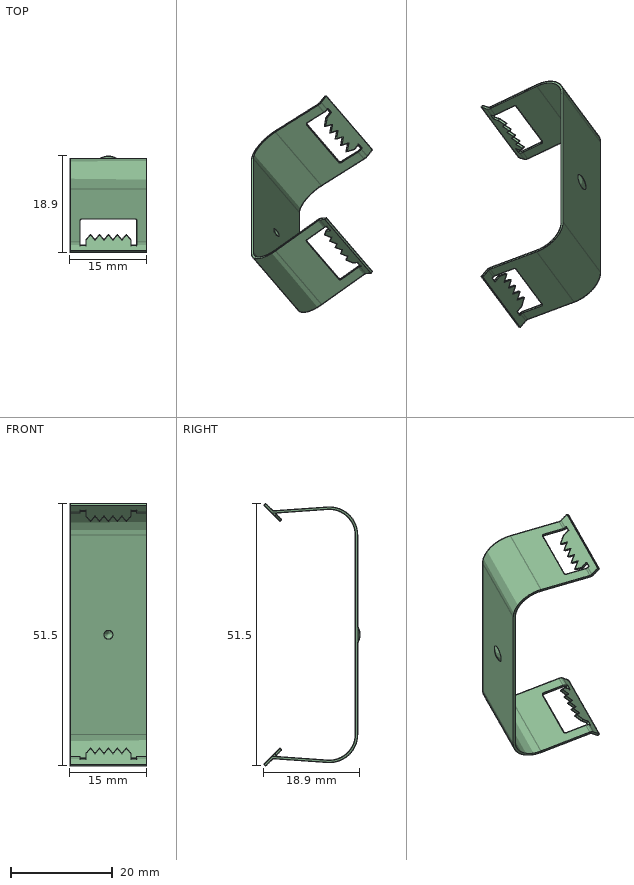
import cadquery as cq
import math

height = 51.5
width = 15.0
thickness = 0.5
dome_height = 0.45
depth = 18.9 - dome_height

corner_radius = 5.55
back_half_height = 19.5
arm_slope = math.radians(4)
lip_slope = math.radians(45)
bend_radius = 0.5

window_width = 11.05
window_edge_y = -11.9
window_corner_radius = 0.3
cutter_reach = 1.05
tongue_width = 8.85
lip_length = 4.5
notch_floor = 1.5
tooth_height = 1.5
tooth_count = 5
tooth_pitch = 1.75

dome_radius = 1.6
dimple_radius = 0.9
dimple_depth = 0.6


def shift(point, direction, distance):
    """Point moved along a direction in the YZ plane."""
    return (point[0] + direction[0] * distance, point[1] + direction[1] * distance)


def polar(center, radius, angle):
    """Point on a circle in the YZ plane, angle measured from +Y."""
    return shift(center, (math.cos(angle), math.sin(angle)), radius)


arm_normal_angle = math.pi / 2 + arm_slope
lip_normal_angle = math.pi / 2 - lip_slope
arm_normal = polar((0, 0), 1, arm_normal_angle)
lip_normal = polar((0, 0), 1, lip_normal_angle)
arm_direction = (-arm_normal[1], arm_normal[0])
lip_inward = (lip_normal[1], -lip_normal[0])

corner_center = (-corner_radius, back_half_height)
arm_start = polar(corner_center, corner_radius, arm_normal_angle)
lip_edge = (-depth + thickness * lip_normal[0], height / 2)

arm_offset_point = shift(arm_start, arm_normal, bend_radius)
lip_offset_point = shift(lip_edge, lip_normal, bend_radius)
arm_run = (
    (lip_offset_point[0] - arm_offset_point[0]) * lip_normal[0]
    + (lip_offset_point[1] - arm_offset_point[1]) * lip_normal[1]
) / (arm_direction[0] * lip_normal[0] + arm_direction[1] * lip_normal[1])
bend_center = shift(arm_offset_point, arm_direction, arm_run)


def make_half_strip():
    mid_corner = arm_normal_angle / 2
    bend_start = arm_normal_angle + math.pi
    bend_end = lip_normal_angle + math.pi
    mid_bend = (bend_start + bend_end) / 2
    inner_corner = corner_radius - thickness
    outer_bend = bend_radius + thickness
    return (
        cq.Workplane("YZ")
        .moveTo(0, 0)
        .lineTo(0, back_half_height)
        .threePointArc(polar(corner_center, corner_radius, mid_corner), arm_start)
        .lineTo(*polar(bend_center, bend_radius, bend_start))
        .threePointArc(
            polar(bend_center, bend_radius, mid_bend), polar(bend_center, bend_radius, bend_end)
        )
        .lineTo(*lip_edge)
        .lineTo(*shift(lip_edge, lip_normal, -thickness))
        .lineTo(*polar(bend_center, outer_bend, bend_end))
        .threePointArc(
            polar(bend_center, outer_bend, mid_bend), polar(bend_center, outer_bend, bend_start)
        )
        .lineTo(*polar(corner_center, inner_corner, arm_normal_angle))
        .threePointArc(
            polar(corner_center, inner_corner, mid_corner), (-thickness, back_half_height)
        )
        .lineTo(-thickness, 0)
        .close()
        .extrude(width / 2, both=True)
    )


def make_window():
    run = (window_edge_y - arm_start[0]) / arm_direction[0]
    far_edge = shift(arm_start, arm_direction, run)
    floor = shift(lip_edge, lip_inward, notch_floor)
    through = thickness + cutter_reach
    return (
        cq.Workplane("YZ")
        .polyline([
            shift(far_edge, arm_normal, cutter_reach),
            shift(floor, lip_normal, cutter_reach),
            shift(floor, lip_normal, -through),
            shift(far_edge, arm_normal, -through),
        ])
        .close()
        .extrude(window_width / 2, both=True)
        .faces(">Y")
        .edges("#X")
        .fillet(window_corner_radius)
    )


def make_tongue():
    """Toothed plate in the lip plane; local Y runs from the lip edge to the tooth tips."""
    plane = cq.Plane(
        origin=(0, *lip_edge), xDir=(-1, 0, 0), normal=(0, -lip_normal[0], -lip_normal[1])
    )
    root = lip_length - tooth_height
    half = tongue_width / 2
    outline = [(-half, 0), (-half, root)]
    for i in range(tooth_count):
        tip_x = (i - (tooth_count - 1) / 2) * tooth_pitch
        outline.append((tip_x, lip_length))
        if i < tooth_count - 1:
            outline.append((tip_x + tooth_pitch / 2, root))
    outline += [(half, root), (half, 0)]
    return cq.Workplane(plane).polyline(outline).close().extrude(thickness)


def make_dome():
    """Shallow spherical cap on the outer face of the back."""
    sphere_radius = (dome_radius**2 + dome_height**2) / (2 * dome_height)
    sphere = cq.Workplane("XY").sphere(sphere_radius).translate((0, dome_height - sphere_radius, 0))
    outside = cq.Workplane("XZ").circle(2 * dome_radius).extrude(-2 * dome_height)
    return sphere.intersect(outside)


def make_dimple():
    """Conical recess entering from the inner face of the back."""
    cone = cq.Solid.makeCone(
        dimple_radius, 0, dimple_depth, pnt=cq.Vector(0, -thickness, 0), dir=cq.Vector(0, 1, 0)
    )
    return cq.Workplane(obj=cone)


half_clip = make_half_strip().cut(make_window()).union(make_tongue())
result = half_clip.union(half_clip.mirror("XY")).union(make_dome()).cut(make_dimple())